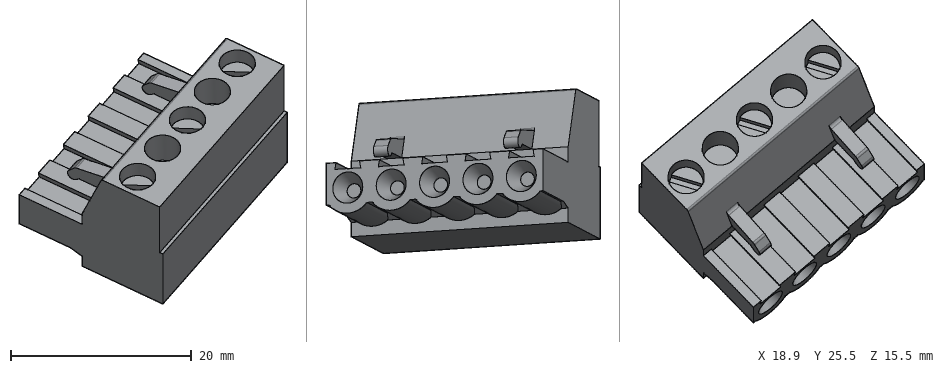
import cadquery as cq
import math


pole_count = 5
pitch = 5.1
width = pole_count * pitch
pole_positions = [(i - (pole_count - 1) / 2) * pitch for i in range(pole_count)]

length = 18.85
height = 15.5
body_front = 8.25
slope_start = 8.5
top_front = 10.8
top_edge_radius = 0.25
back_step_depth = 0.4
back_step_height = 8.12

nose_top = 6.8
socket_height = 3.9
lobe_radius = 2.87
web_bottom = 2.09
ramp_length = 1.53
ramp_drop = 0.48

socket_mouth_diameter = 3.5
socket_floor_diameter = 1.6
socket_depth = 2.04

keyway_depth = 0.76
keyway_top_width = 2.75
keyway_floor_width = 3.03

screw_x = 13.92
screw_hole_diameter = 4.0
screw_hole_depth = 4.07
screw_diameter = 3.8
screw_head_depth = 1.85
screw_slot_width = 0.86
screw_slot_depth = 0.76
screw_slot_angle = 30.0

latch_width = 1.68
latch_positions = [-1.5 * pitch, 1.5 * pitch]
latch_underside = slope_start
latch_root_top = 10.75
latch_knee = (4.63, 10.02)
latch_knee_radius = 0.5
tip_centre = (4.27, 8.65)
tip_radius = 0.65
tip_start_angle = 138.0
tip_end_angle = -52.0
latch_root_radius = 0.5


def extrude_across(outline, extent, centre=0.0):
    """Extrude a closed XZ outline along Y, centred on the given Y."""
    return outline.extrude(extent / 2, both=True).translate((0, centre, 0))


def slope_x(z):
    """X of the leaning front face at height z."""
    return body_front + (top_front - body_front) * (z - slope_start) / (height - slope_start)


def make_body():
    outline = cq.Workplane("XZ").polyline([
        (body_front, 0),
        (length, 0),
        (length, back_step_height),
        (length - back_step_depth, back_step_height),
        (length - back_step_depth, height),
        (top_front, height),
        (body_front, slope_start),
    ]).close()
    body = extrude_across(outline, width)
    top_front_edge = cq.selectors.NearestToPointSelector((top_front, 0, height))
    return body.edges(top_front_edge).fillet(top_edge_radius)


def make_nose():
    outline = cq.Workplane("XZ").polyline([
        (0, web_bottom),
        (body_front - ramp_length, web_bottom),
        (body_front, web_bottom - ramp_drop),
        (body_front, nose_top),
        (0, nose_top),
    ]).close()
    nose = extrude_across(outline, width)
    envelope = cq.Workplane("XY").box(body_front, width, nose_top, centered=(False, True, False))
    for y in pole_positions:
        lobe = cq.Workplane("YZ", origin=(0, y, socket_height)).circle(lobe_radius).extrude(body_front)
        nose = nose.union(lobe.intersect(envelope))
    return nose


def make_keyway(y):
    floor = nose_top - keyway_depth
    return cq.Workplane("YZ").polyline([
        (y - keyway_floor_width / 2, floor),
        (y + keyway_floor_width / 2, floor),
        (y + keyway_top_width / 2, nose_top),
        (y - keyway_top_width / 2, nose_top),
    ]).close().extrude(body_front)


def make_socket(y):
    return cq.Workplane(cq.Solid.makeCone(
        socket_mouth_diameter / 2,
        socket_floor_diameter / 2,
        socket_depth,
        pnt=cq.Vector(0, y, socket_height),
        dir=cq.Vector(1, 0, 0),
    ))


def make_screw_hole(y):
    return (
        cq.Workplane("XY", origin=(screw_x, y, height))
        .circle(screw_hole_diameter / 2)
        .extrude(-screw_hole_depth)
    )


def make_screw(y):
    """Slotted screw standing on the floor of its hole."""
    head = height - screw_head_depth
    screw = (
        cq.Workplane("XY", origin=(screw_x, y, head))
        .circle(screw_diameter / 2)
        .extrude(screw_head_depth - screw_hole_depth)
    )
    slot = (
        cq.Workplane("XY", origin=(screw_x, y, head))
        .transformed(rotate=(0, 0, screw_slot_angle))
        .rect(screw_hole_diameter, screw_slot_width)
        .extrude(-screw_slot_depth)
    )
    return screw.cut(slot)


def tip_point(angle):
    """Point on the round latch tip at an angle in degrees."""
    return (
        tip_centre[0] + tip_radius * math.cos(math.radians(angle)),
        tip_centre[1] + tip_radius * math.sin(math.radians(angle)),
    )


def make_latch(y):
    tip_end = tip_point(tip_end_angle)
    tip_rise = latch_underside - tip_end[1]
    underside_start = tip_end[0] + tip_rise * math.tan(math.radians(-tip_end_angle))
    outline = (
        cq.Workplane("XZ")
        .moveTo(slope_x(latch_root_top), latch_root_top)
        .lineTo(*latch_knee)
        .lineTo(*tip_point(tip_start_angle))
        .threePointArc(tip_point((tip_start_angle + 360 + tip_end_angle) / 2), tip_end)
        .lineTo(underside_start, latch_underside)
        .lineTo(body_front, latch_underside)
        .close()
    )
    latch = extrude_across(outline, latch_width, y)
    knee_edge = cq.selectors.NearestToPointSelector((latch_knee[0], y, latch_knee[1]))
    return latch.edges(knee_edge).fillet(latch_knee_radius)


result = make_body().union(make_nose())
for pole_y in pole_positions:
    result = result.cut(make_keyway(pole_y))
    result = result.cut(make_socket(pole_y))
    result = result.cut(make_screw_hole(pole_y))

for pole_y in pole_positions[::2]:
    result = result.union(make_screw(pole_y))

for latch_y in latch_positions:
    result = result.union(make_latch(latch_y))
    root_point = (slope_x(latch_root_top), latch_y, latch_root_top)
    root_edge = cq.selectors.NearestToPointSelector(root_point)
    result = result.edges(root_edge).fillet(latch_root_radius)